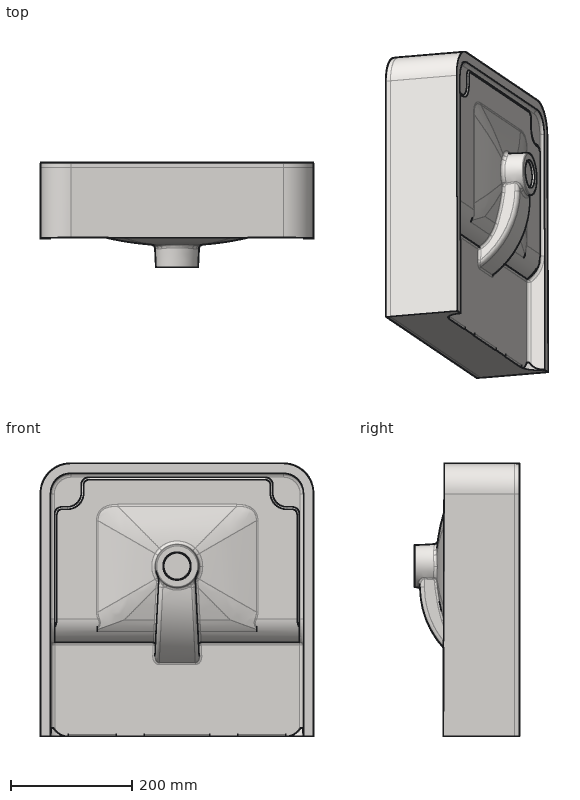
import cadquery as cq
import math


WIDTH = 450.0
HEIGHT = 450.0
TOTAL_DEPTH = 173.09
CORNER_RADIUS = 50.0
TOP_BAND = 8.5
TOP_TAPER = 2.0
TOP_EDGE_RADIUS = 1.5

RIM_DEPTH = 125.0
RIM_RISE = 1.6
RIM_WIDTH = 16.6

POCKET_DEPTH = 29.5
STRIP_DEPTH = 6.5
DECK_DEPTH = 4.0
POCKET_DRAFT = 3.0
FLOOR_FILLET = 6.0

STEP_START_Z = 194.0
STEP_END_Z = 154.0

DECK_MARGIN = 6.8
DECK_BEVEL = 4.0
NOTCH_WIDTH = 44.0
NOTCH_LENGTH = 48.5
NOTCH_INNER_RADIUS = 23.0
NOTCH_OUTER_RADIUS = 12.0

DRAIN_Z = 280.5
BULGE_HEIGHT = 16.6
BULGE_HALF_WIDTH = 131.5
BULGE_HALF_LENGTH = 100.5
BULGE_BEND = 88.0
BULGE_FOOT = 126.5
RIDGE_RADIUS = 95.0
RIDGE_MIN_SPAN = 50.0
BULGE_FILLET = 11.0
CORE_RADIUS = 30.0

BOSS_TIP_RADIUS = 35.0
BOSS_ROOT_RADIUS = 36.7
BOSS_FILLET = 6.0
BOSS_EDGE_RADIUS = 1.5
DRAIN_RADIUS = 23.0
DRAIN_RECESS = 4.0
DRAIN_TAPER = 15.0

CHANNEL_HALF_WIDTH_TOP = 29.0
CHANNEL_HALF_WIDTH_FOOT = 37.0
CHANNEL_HEIGHT = 39.0
CHANNEL_TOP_Z = 246.0
CHANNEL_FOOT_Z = 121.0
CHANNEL_EDGE_RADIUS = 7.0
CHANNEL_FILLET = 4.0

RELIEF_HEIGHT = 4.0
RELIEF_DEPTH = 1.0
PAD_CENTRE = 77.0
PAD_WIDTH = 46.0
GUSSET_SIZE = 28.0
GUSSET_ROOT = 3.0

SELECT_MARGIN = 0.5
OVERLAP = 10.0

RIM_DEPTH_WALL = RIM_DEPTH + RIM_RISE / 2
RIM_DEPTH_FRONT = RIM_DEPTH - RIM_RISE / 2
DECK_Y = -RIM_DEPTH + DECK_DEPTH
STRIP_Y = -RIM_DEPTH + STRIP_DEPTH
FLOOR_Y = -RIM_DEPTH + POCKET_DEPTH
INNER_HALF = WIDTH / 2 - RIM_WIDTH
INNER_TOP = HEIGHT - RIM_WIDTH
FLOOR_HALF = INNER_HALF - POCKET_DEPTH * math.tan(math.radians(POCKET_DRAFT))
DECK_HALF = INNER_HALF - DECK_MARGIN
DECK_TOP = INNER_TOP - DECK_MARGIN


def at_y(y):
    """Workplane at height y whose local axes are X and Z and whose normal is -Y."""
    return cq.Workplane("XZ", origin=(0, y, 0))


def arch_outline(half_width, top, radius, y):
    """Closed outline with a straight lower edge and two rounded upper corners."""
    return (
        at_y(y)
        .moveTo(-half_width, 0)
        .lineTo(half_width, 0)
        .lineTo(half_width, top - radius)
        .radiusArc((half_width - radius, top), -radius)
        .lineTo(radius - half_width, top)
        .radiusArc((-half_width, top - radius), -radius)
        .close()
    )


def body():
    """Solid outer block with a tapered, rounded top band and a sloping lower edge."""
    block = arch_outline(WIDTH / 2, HEIGHT, CORNER_RADIUS, -TOP_BAND).extrude(RIM_DEPTH_WALL - TOP_BAND)
    band = arch_outline(WIDTH / 2, HEIGHT, CORNER_RADIUS, -TOP_BAND).extrude(-TOP_BAND, taper=TOP_TAPER)
    below_rim = (
        cq.Workplane("YZ")
        .polyline([
            (-RIM_DEPTH_WALL, 0),
            (-RIM_DEPTH_FRONT, HEIGHT),
            (-RIM_DEPTH_WALL, HEIGHT),
        ])
        .close()
        .extrude(WIDTH / 2, both=True)
    )
    return band.faces(">Y").edges().fillet(TOP_EDGE_RADIUS).union(block.cut(below_rim))


def pocket():
    """Drafted space inside the skirt, open toward the wall."""
    depth = RIM_DEPTH_WALL - RIM_DEPTH + POCKET_DEPTH
    radius = CORNER_RADIUS - RIM_WIDTH
    inset = depth * math.tan(math.radians(POCKET_DRAFT))
    return (
        arch_outline(INNER_HALF - inset, INNER_TOP - inset, radius - inset, FLOOR_Y)
        .extrude(depth, taper=-POCKET_DRAFT)
    )


def shelf_section(top_y):
    """Shelf section in the YZ plane: flat at top_y, then an arc curving down to the pocket floor."""
    run = STEP_START_Z - STEP_END_Z
    drop = FLOOR_Y - top_y
    radius = (run ** 2 + drop ** 2) / (2 * drop)
    return (
        cq.Workplane("YZ")
        .moveTo(FLOOR_Y + OVERLAP, STEP_END_Z)
        .lineTo(FLOOR_Y, STEP_END_Z)
        .radiusArc((top_y, STEP_START_Z), radius)
        .lineTo(top_y, HEIGHT - RIM_WIDTH / 2)
        .lineTo(FLOOR_Y + OVERLAP, HEIGHT - RIM_WIDTH / 2)
        .close()
    )


def shelf():
    """Stepped block that fills the front part of the pocket up to strip level."""
    return shelf_section(STRIP_Y).extrude(INNER_HALF + RIM_WIDTH / 2, both=True)


def deck():
    """Raised deck with its two front corners notched by S-shaped curves."""
    notch_x = DECK_HALF - NOTCH_WIDTH
    notch_z = DECK_TOP - NOTCH_LENGTH
    convex = NOTCH_OUTER_RADIUS
    concave = NOTCH_INNER_RADIUS
    plate = (
        at_y(FLOOR_Y)
        .moveTo(0, STEP_END_Z)
        .lineTo(DECK_HALF, STEP_END_Z)
        .lineTo(DECK_HALF, notch_z - convex)
        .radiusArc((DECK_HALF - convex, notch_z), -convex)
        .lineTo(notch_x + concave, notch_z)
        .radiusArc((notch_x, notch_z + concave), concave)
        .lineTo(notch_x, DECK_TOP - convex)
        .radiusArc((notch_x - convex, DECK_TOP), -convex)
        .lineTo(0, DECK_TOP)
        .mirrorY()
        .extrude(FLOOR_Y - DECK_Y)
        .faces("<Y")
        .chamfer(STRIP_DEPTH - DECK_DEPTH, DECK_BEVEL)
    )
    return plate.intersect(shelf_section(DECK_Y).extrude(DECK_HALF, both=True))


def bulge():
    """Underside of the bowl: two crossed arches meeting along four rounded diagonal ridges."""
    apex_y = DECK_Y - BULGE_HEIGHT
    radius = (BULGE_HALF_LENGTH ** 2 + BULGE_HEIGHT ** 2) / (2 * BULGE_HEIGHT)

    def arch_y(distance):
        """Height of the lengthwise arch at a distance from the drain centre."""
        return apex_y + radius - math.sqrt(radius ** 2 - distance ** 2)

    front_z = DRAIN_Z + BULGE_HALF_LENGTH
    bend_z = DRAIN_Z - BULGE_BEND
    foot_z = DRAIN_Z - BULGE_FOOT
    root_y = FLOOR_Y + OVERLAP

    lengthwise = (
        cq.Workplane("YZ")
        .moveTo(DECK_Y, front_z)
        .threePointArc((apex_y, DRAIN_Z), (arch_y(BULGE_FOOT), foot_z))
        .lineTo(root_y, foot_z)
        .lineTo(root_y, front_z)
        .close()
        .extrude(BULGE_HALF_WIDTH, both=True)
    )
    crosswise = (
        cq.Workplane("XY")
        .moveTo(-BULGE_HALF_WIDTH, DECK_Y)
        .threePointArc((0, apex_y), (BULGE_HALF_WIDTH, DECK_Y))
        .lineTo(BULGE_HALF_WIDTH, root_y)
        .lineTo(-BULGE_HALF_WIDTH, root_y)
        .close()
        .extrude(HEIGHT)
    )
    core = at_y(root_y).center(0, DRAIN_Z).circle(CORE_RADIUS).extrude(TOTAL_DEPTH)
    crossed = lengthwise.intersect(crosswise).cut(core)
    ridges = [
        edge
        for edge in crossed.edges("%BSPLINE").vals()
        if abs(edge.startPoint().x - edge.endPoint().x) > RIDGE_MIN_SPAN
        and abs(edge.startPoint().z - edge.endPoint().z) > RIDGE_MIN_SPAN
    ]
    rounded = crossed.newObject(ridges).fillet(RIDGE_RADIUS)

    bent_envelope = (
        cq.Workplane("YZ")
        .moveTo(apex_y, front_z)
        .lineTo(apex_y, DRAIN_Z)
        .threePointArc((arch_y(BULGE_BEND / 2), DRAIN_Z - BULGE_BEND / 2), (arch_y(BULGE_BEND), bend_z))
        .tangentArcPoint((FLOOR_Y, foot_z), relative=False)
        .lineTo(root_y, foot_z)
        .lineTo(root_y, front_z)
        .close()
        .extrude(BULGE_HALF_WIDTH, both=True)
    )
    return rounded.intersect(bent_envelope)


def drain_boss():
    """Tapered round outlet with a softened tip."""
    return (
        cq.Workplane("XY")
        .moveTo(0, FLOOR_Y + OVERLAP)
        .lineTo(BOSS_ROOT_RADIUS, FLOOR_Y + OVERLAP)
        .lineTo(BOSS_ROOT_RADIUS, DECK_Y - BULGE_HEIGHT)
        .lineTo(BOSS_TIP_RADIUS, -TOTAL_DEPTH)
        .lineTo(0, -TOTAL_DEPTH)
        .close()
        .revolve(360, (0, 0, 0), (0, 1, 0))
        .translate((0, 0, DRAIN_Z))
        .faces("<Y")
        .edges()
        .fillet(BOSS_EDGE_RADIUS)
    )


def drain_recess():
    """Shallow tapered recess in the tip of the drain boss."""
    return (
        at_y(-TOTAL_DEPTH)
        .center(0, DRAIN_Z)
        .circle(DRAIN_RADIUS)
        .extrude(-DRAIN_RECESS, taper=DRAIN_TAPER)
    )


def overflow_channel():
    """Hump that starts upright at the drain boss and arcs down to the pocket floor."""
    start_y = -RIM_DEPTH - CHANNEL_HEIGHT
    run = CHANNEL_TOP_Z - CHANNEL_FOOT_Z
    drop = FLOOR_Y - start_y
    radius = (run ** 2 + drop ** 2) / (2 * drop)
    side = (
        cq.Workplane("YZ")
        .moveTo(FLOOR_Y + OVERLAP, DRAIN_Z)
        .lineTo(start_y, DRAIN_Z)
        .lineTo(start_y, CHANNEL_TOP_Z)
        .radiusArc((FLOOR_Y, CHANNEL_FOOT_Z), -radius)
        .lineTo(FLOOR_Y + OVERLAP, CHANNEL_FOOT_Z)
        .close()
        .extrude(WIDTH / 2, both=True)
    )
    plan = (
        at_y(FLOOR_Y + OVERLAP)
        .polyline([
            (-CHANNEL_HALF_WIDTH_TOP, DRAIN_Z),
            (CHANNEL_HALF_WIDTH_TOP, DRAIN_Z),
            (CHANNEL_HALF_WIDTH_FOOT, CHANNEL_FOOT_Z),
            (-CHANNEL_HALF_WIDTH_FOOT, CHANNEL_FOOT_Z),
        ])
        .close()
        .extrude(TOTAL_DEPTH)
    )
    return side.intersect(plan).faces("<Y or %CYLINDER").edges("not |X").fillet(CHANNEL_EDGE_RADIUS)


def wall_gusset(side):
    """Concave web in the open corner of the pocket; side is +1 or -1 along X."""
    size = GUSSET_SIZE + GUSSET_ROOT
    web = (
        cq.Workplane("XY")
        .box(size, size, GUSSET_SIZE, centered=False)
        .translate((FLOOR_HALF - GUSSET_SIZE, FLOOR_Y - GUSSET_SIZE, 0))
    )
    scoop = cq.Workplane("XY").sphere(GUSSET_SIZE * math.sqrt(2)).translate(
        (FLOOR_HALF - GUSSET_SIZE, FLOOR_Y - GUSSET_SIZE, GUSSET_SIZE)
    )
    web = web.cut(scoop)
    return web if side > 0 else web.mirror("YZ")


def wall_relief(x_start, x_end):
    """Bevel along the wall-side edge of the pocket floor."""
    return (
        cq.Workplane("YZ", origin=(x_start, 0, 0))
        .moveTo(FLOOR_Y, 0)
        .lineTo(FLOOR_Y, RELIEF_HEIGHT)
        .lineTo(FLOOR_Y + RELIEF_DEPTH, 0)
        .close()
        .extrude(x_end - x_start)
    )


def rounded_cavity():
    """Open space under the basin, with rounded corners where the skirt and the step meet the floors."""
    cavity = pocket().cut(shelf())
    floor_edges = [
        edge
        for edge in cavity.edges("not |Y").vals()
        if edge.Center().y > STRIP_Y - SELECT_MARGIN
        and edge.Center().z > SELECT_MARGIN
        and abs(edge.Center().z - STEP_START_Z) > SELECT_MARGIN
    ]
    return cavity.newObject(floor_edges).fillet(FLOOR_FILLET)


def bowl_underside():
    """Deck, bulge and drain boss blended into one another."""
    half_span = BULGE_HALF_WIDTH + SELECT_MARGIN
    front_z = DRAIN_Z + BULGE_HALF_LENGTH + SELECT_MARGIN
    bulge_outline = cq.selectors.BoxSelector(
        (-half_span, DECK_Y - SELECT_MARGIN, STEP_START_Z),
        (half_span, DECK_Y + SELECT_MARGIN, front_z),
    )
    apex_y = DECK_Y - BULGE_HEIGHT
    reach = BOSS_ROOT_RADIUS + SELECT_MARGIN
    boss_root = cq.selectors.BoxSelector(
        (-reach, apex_y - BOSS_FILLET, DRAIN_Z - reach),
        (reach, apex_y + BOSS_FILLET, DRAIN_Z + reach),
    )
    underside = deck().union(bulge()).edges(bulge_outline).fillet(BULGE_FILLET)
    return underside.union(drain_boss()).edges(boss_root).fillet(BOSS_FILLET)


def add_channel(part):
    """Join the overflow channel to the part and round the corner along its foot."""
    lower_y = DECK_Y - BULGE_HEIGHT + SELECT_MARGIN
    reach = CHANNEL_HALF_WIDTH_FOOT + SELECT_MARGIN
    right_root = cq.selectors.BoxSelector(
        (CHANNEL_HALF_WIDTH_TOP, lower_y, CHANNEL_FOOT_Z),
        (reach, FLOOR_Y + SELECT_MARGIN, CHANNEL_TOP_Z + BOSS_FILLET),
    )
    left_root = cq.selectors.BoxSelector(
        (-reach, lower_y, CHANNEL_FOOT_Z),
        (-CHANNEL_HALF_WIDTH_TOP, FLOOR_Y + SELECT_MARGIN, CHANNEL_TOP_Z + BOSS_FILLET),
    )
    return part.union(overflow_channel()).edges(right_root + left_root).fillet(CHANNEL_FILLET)


def basin():
    """Whole washbasin, joined feature by feature."""
    part = body().cut(rounded_cavity()).union(bowl_underside())
    part = add_channel(part)
    part = part.cut(drain_recess())
    for side in (1, -1):
        part = part.union(wall_gusset(side))
    pad_inner = PAD_CENTRE - PAD_WIDTH / 2
    pad_outer = PAD_CENTRE + PAD_WIDTH / 2
    gusset_start = FLOOR_HALF - GUSSET_SIZE
    for x_start, x_end in (
        (-gusset_start, -pad_outer),
        (-pad_inner, pad_inner),
        (pad_outer, gusset_start),
    ):
        part = part.cut(wall_relief(x_start, x_end))
    return part


result = basin()